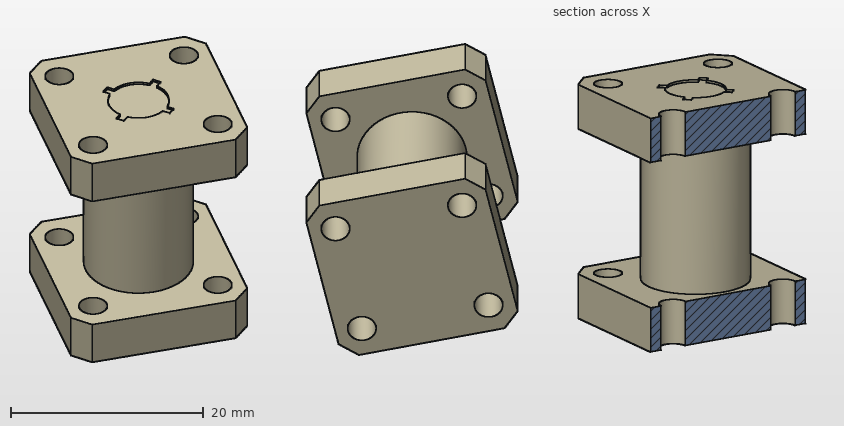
import cadquery as cq

flange_side = 19.05
total_height = 25.4

flange_thickness = 4.83
corner_chamfer = 1.78
column_diameter = 11.43

bolt_hole_diameter = 2.95
bolt_spacing_x = 12.7
bolt_spacing_y = 13.46

recess_diameter = 6.35
recess_depth = 0.25
notch_span = 7.9
notch_width = 0.9
notch_angles = (45, 135)


def make_flange(bottom_z):
    """Square plate with chamfered corners and four bolt holes."""
    return (
        cq.Workplane("XY", origin=(0, 0, bottom_z))
        .rect(flange_side, flange_side)
        .extrude(flange_thickness)
        .edges("|Z")
        .chamfer(corner_chamfer)
        .faces(">Z")
        .workplane()
        .rect(bolt_spacing_x, bolt_spacing_y, forConstruction=True)
        .vertices()
        .hole(bolt_hole_diameter)
    )


def make_column():
    """Round column running from the bottom flange to the top flange."""
    column_height = total_height - 2 * flange_thickness
    return (
        cq.Workplane("XY", origin=(0, 0, flange_thickness))
        .circle(column_diameter / 2)
        .extrude(column_height)
    )


def make_recess():
    """Volume removed from the top face: a disc crossed by notch bars."""
    floor = cq.Workplane("XY", origin=(0, 0, total_height - recess_depth))
    recess = floor.circle(recess_diameter / 2).extrude(recess_depth)
    notch_bar = floor.rect(notch_span, notch_width).extrude(recess_depth)
    for angle in notch_angles:
        recess = recess.union(notch_bar.rotate((0, 0, 0), (0, 0, 1), angle))
    return recess


bottom_flange = make_flange(0)
top_flange = make_flange(total_height - flange_thickness)
result = bottom_flange.union(make_column()).union(top_flange).cut(make_recess())